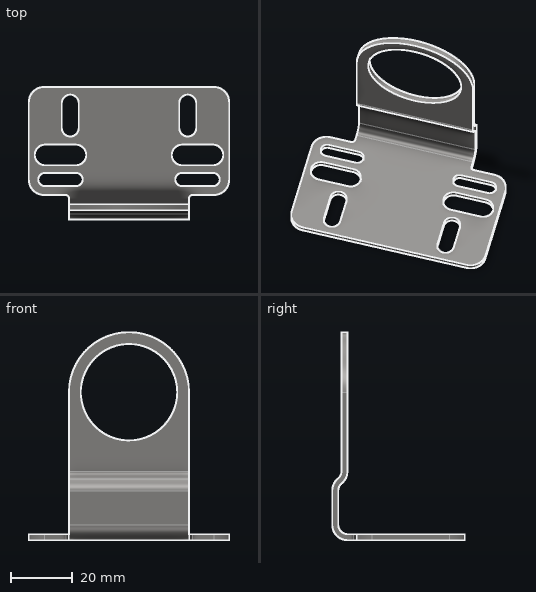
import cadquery as cq
import math

thickness = 2.0
base_width = 65.0
depth = 43.0
height = 67.5
base_corner_radius = 5.0
base_front_y = 7.9
tab_width = 39.0
relief_radius = 1.0
ring_hole_diameter = 31.2

inner_bend_radius = 3.0
outer_bend_radius = inner_bend_radius + thickness
jog_offset = 3.0
jog_start_z = 16.1

cross_slot = (19.05, 33.7, 13.5, 5.4)
wide_slot = (22.2, 20.9, 16.6, 6.6)
narrow_slot = (22.2, 12.95, 14.3, 4.2)

jog_angle = math.acos(1 - jog_offset / (inner_bend_radius + outer_bend_radius))
jog_end_z = jog_start_z + (inner_bend_radius + outer_bend_radius) * math.sin(jog_angle)
ring_radius = tab_width / 2
ring_center_z = height - ring_radius


def arc_point(center, radius, angle):
    """Point on a circle in the YZ plane, angle measured from +Y."""
    return (center[0] + radius * math.cos(angle), center[1] + radius * math.sin(angle))


def make_bent_strip():
    """Full-depth sheet profile: base, bend, lower wall, jog and upper wall."""
    base_bend = (outer_bend_radius, outer_bend_radius)
    lower_jog = (outer_bend_radius, jog_start_z)
    upper_jog = (jog_offset - inner_bend_radius, jog_end_z)
    bend_middle = math.radians(225)
    lower_middle = math.pi - jog_angle / 2
    lower_end = math.pi - jog_angle
    upper_middle = -jog_angle / 2
    profile = (
        cq.Workplane("YZ")
        .moveTo(depth, 0)
        .lineTo(outer_bend_radius, 0)
        .threePointArc(arc_point(base_bend, outer_bend_radius, bend_middle), (0, outer_bend_radius))
        .lineTo(0, jog_start_z)
        .threePointArc(
            arc_point(lower_jog, outer_bend_radius, lower_middle),
            arc_point(lower_jog, outer_bend_radius, lower_end),
        )
        .threePointArc(arc_point(upper_jog, inner_bend_radius, upper_middle), (jog_offset, jog_end_z))
        .lineTo(jog_offset, height)
        .lineTo(jog_offset + thickness, height)
        .lineTo(jog_offset + thickness, jog_end_z)
        .threePointArc(
            arc_point(upper_jog, outer_bend_radius, upper_middle),
            arc_point(upper_jog, outer_bend_radius, -jog_angle),
        )
        .threePointArc(arc_point(lower_jog, inner_bend_radius, lower_middle), (thickness, jog_start_z))
        .lineTo(thickness, outer_bend_radius)
        .threePointArc(
            arc_point(base_bend, inner_bend_radius, bend_middle),
            (outer_bend_radius, thickness),
        )
        .lineTo(depth, thickness)
        .close()
    )
    return profile.extrude(tab_width / 2, both=True)


def round_tab_top(strip):
    """Trim the strip to a semicircular top and cut the large hole."""
    outline = (
        cq.Workplane("XZ")
        .moveTo(-ring_radius, 0)
        .lineTo(ring_radius, 0)
        .lineTo(ring_radius, ring_center_z)
        .threePointArc((0, height), (-ring_radius, ring_center_z))
        .close()
        .extrude(-depth)
    )
    hole = (
        cq.Workplane("XZ")
        .center(0, ring_center_z)
        .circle(ring_hole_diameter / 2)
        .extrude(-depth)
    )
    return strip.intersect(outline).cut(hole)


def make_base():
    """Rounded base plate."""
    return (
        cq.Workplane("XY")
        .rect(base_width, depth - base_front_y)
        .extrude(thickness)
        .edges("|Z")
        .fillet(base_corner_radius)
        .translate((0, (depth + base_front_y) / 2, 0))
    )


def make_relief(side):
    """Concave fillet between the base front edge and one side of the tab."""
    tab_x = side * tab_width / 2
    diagonal = relief_radius * (1 - math.sqrt(0.5))
    return (
        cq.Workplane("XY")
        .moveTo(tab_x, base_front_y)
        .lineTo(tab_x + side * relief_radius, base_front_y)
        .threePointArc(
            (tab_x + side * diagonal, base_front_y - diagonal),
            (tab_x, base_front_y - relief_radius),
        )
        .close()
        .extrude(thickness)
    )


def make_slots(slot, angle):
    """Mirrored pair of through-slot cutters; angle 0 runs along X, 90 along Y."""
    center_x, center_y, length, width = slot
    return (
        cq.Workplane("XY")
        .pushPoints([(-center_x, center_y), (center_x, center_y)])
        .slot2D(length, width, angle)
        .extrude(thickness)
    )


result = round_tab_top(make_bent_strip()).union(make_base())
for side in (-1, 1):
    result = result.union(make_relief(side))
for slot, angle in ((cross_slot, 90), (wide_slot, 0), (narrow_slot, 0)):
    result = result.cut(make_slots(slot, angle))